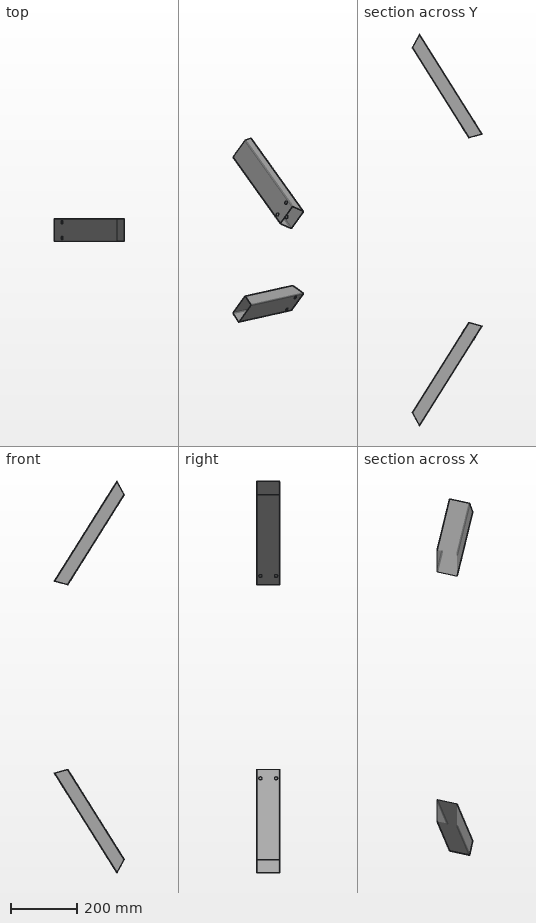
import cadquery as cq
import math

TOTAL_HEIGHT = 1184.0
TOTAL_DEPTH = 212.0
WIDTH = 70.0

OUTER_LOW = (0.0, 290.0)
OUTER_HIGH = (190.0, TOTAL_HEIGHT / 2)
INNER_HIGH = (TOTAL_DEPTH, 550.0)
INNER_EDGE = 321.0

WALL = 1.5
OUTER_RADIUS = 2.0
INNER_RADIUS = OUTER_RADIUS - WALL

HOLE_DIAMETER = 10.2
HOLE_FROM_CORNER = 44.0
HOLE_SPACING = 47.0

run_x = OUTER_HIGH[0] - OUTER_LOW[0]
run_z = OUTER_HIGH[1] - OUTER_LOW[1]
outer_length = math.hypot(run_x, run_z)
along = (run_x / outer_length, run_z / outer_length)
inward = (along[1], -along[0])

thickness = (
    (INNER_HIGH[0] - OUTER_HIGH[0]) * inward[0] + (INNER_HIGH[1] - OUTER_HIGH[1]) * inward[1]
)
inner_low = (INNER_HIGH[0] - INNER_EDGE * along[0], INNER_HIGH[1] - INNER_EDGE * along[1])


def face_point(distance, depth):
    """Point on the middle plane, measured along and inward from the low outer corner."""
    return cq.Vector(
        OUTER_LOW[0] + distance * along[0] + depth * inward[0],
        0,
        OUTER_LOW[1] + distance * along[1] + depth * inward[1],
    )


def rounded_bar(height, width, radius, start, length):
    """Bar along the tube axis with its long edges rounded."""
    section = cq.Plane(
        origin=face_point(start, thickness / 2),
        xDir=(inward[0], 0, inward[1]),
        normal=(along[0], 0, along[1]),
    )
    profile = cq.Sketch().rect(height, width).vertices().fillet(radius)
    return cq.Workplane(section).placeSketch(profile).extrude(length)


def make_tube():
    """Hollow rectangular tube with mitred ends and through holes."""
    overrun = thickness
    bar_length = outer_length + 2 * overrun
    outside = rounded_bar(thickness, WIDTH, OUTER_RADIUS, -overrun, bar_length)
    cavity = rounded_bar(
        thickness - 2 * WALL, WIDTH - 2 * WALL, INNER_RADIUS, -overrun, bar_length
    )
    mitred = (
        cq.Workplane("XZ")
        .polyline([OUTER_LOW, OUTER_HIGH, INNER_HIGH, inner_low])
        .close()
        .extrude(WIDTH / 2, both=True)
    )
    tube = outside.cut(cavity).intersect(mitred)

    hole_plane = cq.Plane(
        origin=face_point(HOLE_FROM_CORNER, -WALL),
        xDir=(0, 1, 0),
        normal=(inward[0], 0, inward[1]),
    )
    holes = (
        cq.Workplane(hole_plane)
        .pushPoints([(-HOLE_SPACING / 2, 0), (HOLE_SPACING / 2, 0)])
        .circle(HOLE_DIAMETER / 2)
        .extrude(thickness + 2 * WALL)
    )
    return tube.cut(holes)


upper_tube = make_tube()
lower_tube = upper_tube.mirror("XY")

result = cq.Compound.makeCompound([upper_tube.val(), lower_tube.val()])